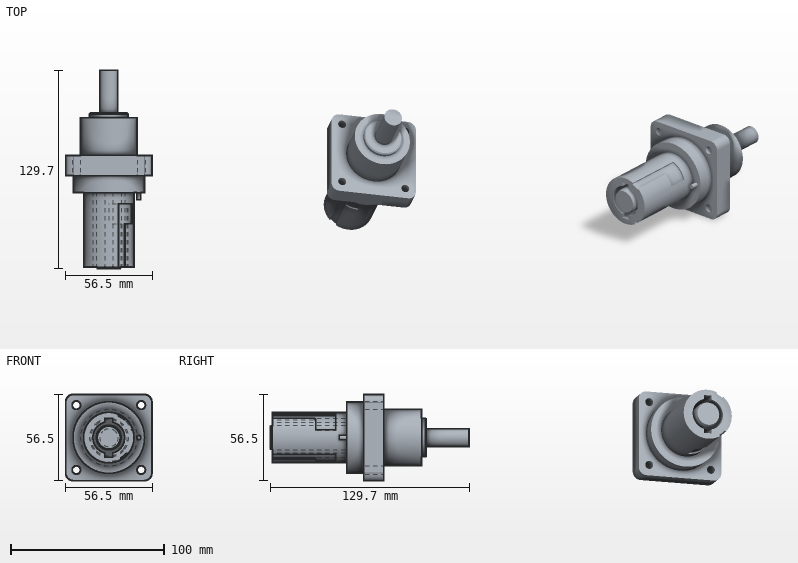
import cadquery as cq
import math

tip_length = 1.3
sleeve_length = 48.5
flange_length = 11.0
plate_length = 13.2
hub_length = 24.7
collar_length = 3.1
shaft_length = 27.9

plate_side = 56.5
plate_corner_radius = 5.2
bolt_hole_diameter = 5.3
bolt_spacing = 42.3

flange_diameter = 46.7
hub_diameter = 37.0
collar_diameter = 25.3
collar_chamfer = 0.8
shaft_diameter = 11.8
sleeve_diameter = 33.0

bore_diameter = 20.8
keyway_width = 5.2
keyway_span = 25.5
core_diameter = 16.2
core_taper_length = 2.6
core_taper_depth = 0.6

pin_diameter = 2.9
pin_length = 4.8
pin_offset = 19.6

slot_depth = 1.0
slot_start_angles = (67, -41)
slot_entry_sweep = 18
slot_pocket_sweep = 49
slot_length = 41.3
slot_pocket_length = 13.0
slot_corner_radius = 1.0

sleeve_face = tip_length
flange_face = sleeve_face + sleeve_length
plate_face = flange_face + flange_length
hub_start = plate_face + plate_length
collar_start = hub_start + hub_length
shaft_start = collar_start + collar_length


def section_plane(y):
    """Plane at station y with local x along X, local y along Z and extrusion toward -Y."""
    return cq.Workplane("XZ", origin=(0, y, 0))


def cylinder(diameter, start, length):
    """Cylinder on the Y axis that runs from start toward +Y."""
    return section_plane(start).circle(diameter / 2).extrude(-length)


def mounting_plate():
    plate = section_plane(plate_face).rect(plate_side, plate_side).extrude(-plate_length)
    plate = plate.edges("|Y").fillet(plate_corner_radius)
    holes = (
        section_plane(plate_face)
        .rect(bolt_spacing, bolt_spacing, forConstruction=True)
        .vertices()
        .circle(bolt_hole_diameter / 2)
        .extrude(-plate_length)
    )
    return plate.cut(holes)


def sleeve_sector(first_angle, sweep, start, length):
    """Shallow sector at the sleeve surface, swept clockwise from first_angle."""
    outer_radius = sleeve_diameter / 2 + slot_depth
    inner_radius = sleeve_diameter / 2 - slot_depth

    def point(radius, turned):
        angle = math.radians(first_angle - turned)
        return (radius * math.cos(angle), radius * math.sin(angle))

    return (
        section_plane(start)
        .moveTo(*point(inner_radius, 0))
        .lineTo(*point(outer_radius, 0))
        .threePointArc(point(outer_radius, sweep / 2), point(outer_radius, sweep))
        .lineTo(*point(inner_radius, sweep))
        .threePointArc(point(inner_radius, sweep / 2), point(inner_radius, 0))
        .close()
        .extrude(-length)
    )


def bayonet_slot(first_angle):
    entry = sleeve_sector(first_angle, slot_entry_sweep, sleeve_face, slot_length)
    pocket_start = sleeve_face + slot_length - slot_pocket_length
    pocket = sleeve_sector(first_angle, slot_pocket_sweep, pocket_start, slot_pocket_length)
    corner_angle = math.radians(first_angle - slot_entry_sweep)
    surface_radius = sleeve_diameter / 2
    corner = (surface_radius * math.cos(corner_angle), pocket_start, surface_radius * math.sin(corner_angle))
    return entry.union(pocket).edges(cq.NearestToPointSelector(corner)).fillet(slot_corner_radius)


def slotted_sleeve():
    sleeve = cylinder(sleeve_diameter, sleeve_face, sleeve_length)
    sleeve = sleeve.cut(cylinder(bore_diameter, sleeve_face, sleeve_length))
    keyways = section_plane(sleeve_face).rect(keyway_width, keyway_span).extrude(-sleeve_length)
    sleeve = sleeve.cut(keyways)
    for first_angle in slot_start_angles:
        sleeve = sleeve.cut(bayonet_slot(first_angle))
    return sleeve


def tapered_core():
    core = cylinder(core_diameter, 0, flange_face)
    return core.faces("<Y").edges().chamfer(core_taper_length, core_taper_depth)


def locating_pin():
    return (
        section_plane(flange_face)
        .center(pin_offset, 0)
        .circle(pin_diameter / 2)
        .extrude(pin_length)
    )


def chamfered_collar():
    collar = cylinder(collar_diameter, collar_start, collar_length)
    return collar.faces(">Y").edges().chamfer(collar_chamfer)


result = (
    mounting_plate()
    .union(cylinder(flange_diameter, flange_face, flange_length))
    .union(cylinder(hub_diameter, hub_start, hub_length))
    .union(chamfered_collar())
    .union(cylinder(shaft_diameter, shaft_start, shaft_length))
    .union(slotted_sleeve())
    .union(tapered_core())
    .union(locating_pin())
)